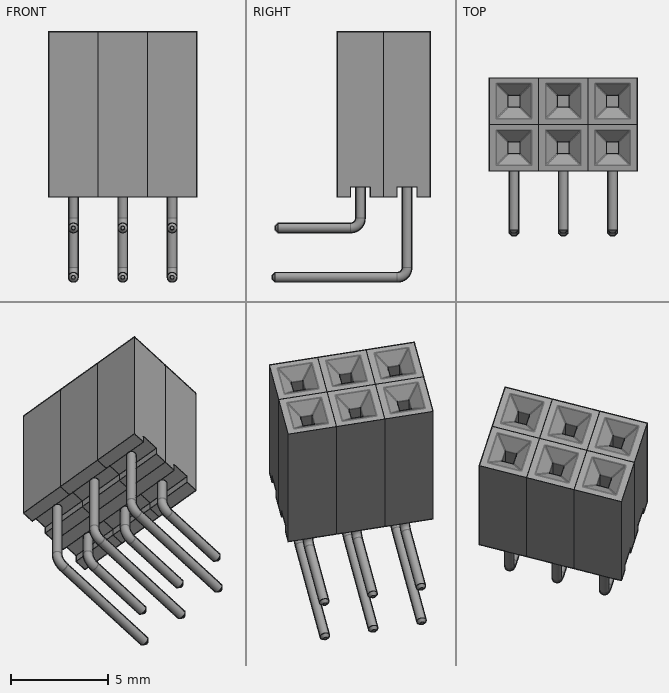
import cadquery as cq


columns = 3
column_pitch = 2.54
row_pitch = 2.4

overall_height = 12.89
cell_height = 8.51
cell_bottom = overall_height - cell_height

funnel_opening = 1.8
socket_width = 0.6
funnel_depth = (funnel_opening - socket_width) / 2
funnel_edge_radius = 0.05
socket_bottom_depth = 6.0

slot_width = 1.0
slot_depth = 0.5

pin_diameter = 0.5
pin_radius = pin_diameter / 2
bend_radius = 0.5
tip_chamfer = 0.15
row_drop = 2.54

rear_row_y = row_pitch / 2
front_row_y = -row_pitch / 2
rear_leg_z = pin_radius
front_leg_z = rear_leg_z + row_drop
overall_length = 8.13
tip_setback = 0.15
rear_tip_y = row_pitch - overall_length
front_tip_y = rear_tip_y + tip_setback


def make_cell():
    """Square cell centred on the Z axis, with its funnel, socket and underside slot."""
    cell = (
        cq.Workplane("XY", origin=(0, 0, cell_bottom))
        .rect(column_pitch, row_pitch)
        .extrude(cell_height)
    )
    funnel = (
        cq.Workplane("XY", origin=(0, 0, overall_height))
        .rect(funnel_opening, funnel_opening)
        .workplane(offset=-funnel_depth)
        .rect(socket_width, socket_width)
        .loft(ruled=True)
    )
    socket = (
        cq.Workplane("XY", origin=(0, 0, overall_height))
        .rect(socket_width, socket_width)
        .extrude(-socket_bottom_depth)
    )
    slot = (
        cq.Workplane("XY", origin=(0, 0, cell_bottom))
        .rect(column_pitch, slot_width)
        .extrude(slot_depth)
    )
    cell = cell.cut(funnel).cut(socket).cut(slot)

    zone_reach = funnel_opening / 2 + funnel_edge_radius
    funnel_zone = cq.selectors.BoxSelector(
        (-zone_reach, -zone_reach, overall_height - funnel_depth - funnel_edge_radius),
        (zone_reach, zone_reach, overall_height + funnel_edge_radius),
    )
    return cell.edges(funnel_zone).fillet(funnel_edge_radius)


def make_pin(row_y, leg_z, tip_y):
    """Pin that drops from the slot roof, bends toward -Y and ends in a chamfered tip."""
    pin_top = cell_bottom + slot_depth
    bend_top = leg_z + bend_radius
    bend_front = row_y - bend_radius

    drop = (
        cq.Workplane("XY", origin=(0, row_y, bend_top))
        .circle(pin_radius)
        .extrude(pin_top - bend_top)
    )
    bend = (
        cq.Workplane("XY", origin=(0, row_y, bend_top))
        .circle(pin_radius)
        .revolve(90, (0, -bend_radius, 0), (-1, -bend_radius, 0))
    )
    leg = (
        cq.Workplane("XZ", origin=(0, bend_front, leg_z))
        .circle(pin_radius)
        .extrude(bend_front - tip_y)
        .faces("<Y")
        .chamfer(tip_chamfer)
    )
    return drop.union(bend).union(leg)


def make_module(column_x, row_y, leg_z, tip_y):
    """One cell and its pin as a single solid."""
    cell = make_cell().translate((0, row_y, 0))
    return cell.union(make_pin(row_y, leg_z, tip_y)).translate((column_x, 0, 0))


modules = []
for column in range(columns):
    x = (column - (columns - 1) / 2) * column_pitch
    modules.append(make_module(x, rear_row_y, rear_leg_z, rear_tip_y))
    modules.append(make_module(x, front_row_y, front_leg_z, front_tip_y))

result = cq.Compound.makeCompound([module.solids().val() for module in modules])